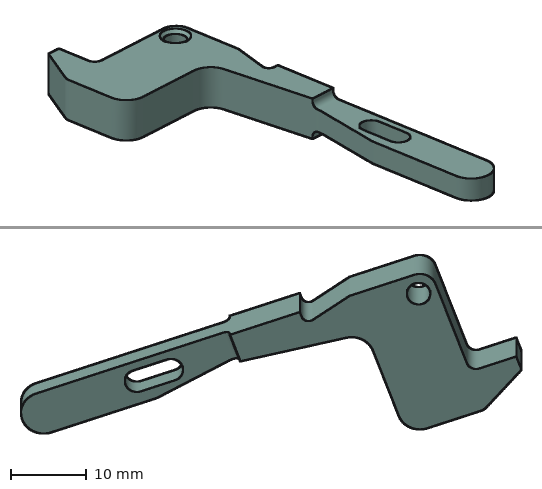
import cadquery as cq
import math

LENGTH = 64.6
WIDTH = 21.6
BODY_THICKNESS = 6.0
ARM_THICKNESS = 3.3

STEM_LEFT = 6.45
STEM_RIGHT = 17.5
HOOK_TOP = 5.9
HOOK_TIP_BOTTOM = 3.8
HOOK_ANGLE = 30.0
HOOK_BLEND = 1.8
HOOK_INNER_RADIUS = 1.3
HEEL_RADIUS = 3.0
SHOULDER_RADIUS = 2.2
ELBOW_RADIUS = 3.0

NOTCH_START = 17.7
NOTCH_WALL = 24.7
NOTCH_ANGLE = 16.0
NOTCH_RADIUS = 1.0

NECK_X = 35.5
NECK_WIDTH = 4.0
ELBOW_Y = 15.7
HANDLE_START = 46.85
HANDLE_WIDTH = 6.0
NECK_BLEND = 3.4
HANDLE_BLEND = 3.0
STEP_X = 34.5
STEP_FILLET = 1.0

HOLE_X = 9.05
CENTRE_LINE_Y = 18.8
HOLE_DIAMETER = 3.1
COUNTERSINK_DIAMETER = 4.15
COUNTERSINK_ANGLE = 90.0
SLOT_LEFT = 42.1
SLOT_RIGHT = 50.05
SLOT_WIDTH = 3.15


def make_profile():
    """Extrude the whole lever outline at body thickness and round its corners."""
    hook_heel_x = HOOK_TIP_BOTTOM / math.tan(math.radians(HOOK_ANGLE))
    notch_depth = (NOTCH_WALL - NOTCH_START) * math.tan(math.radians(NOTCH_ANGLE))
    handle_radius = HANDLE_WIDTH / 2
    handle_bottom = WIDTH - HANDLE_WIDTH
    tip_start = LENGTH - handle_radius

    hook_heel = (hook_heel_x, 0)
    heel = (STEM_RIGHT, 0)
    elbow = (STEM_RIGHT, ELBOW_Y)
    neck = (NECK_X, WIDTH - NECK_WIDTH)
    handle_corner = (HANDLE_START, handle_bottom)
    notch_bottom = (NOTCH_WALL, WIDTH - notch_depth)
    shoulder = (STEM_LEFT, WIDTH)
    hook_inner = (STEM_LEFT, HOOK_TOP)

    profile = (
        cq.Workplane("XY")
        .workplane(offset=-BODY_THICKNESS / 2)
        .moveTo(0, HOOK_TIP_BOTTOM)
        .lineTo(*hook_heel)
        .lineTo(*heel)
        .lineTo(*elbow)
        .lineTo(*neck)
        .lineTo(*handle_corner)
        .lineTo(tip_start, handle_bottom)
        .threePointArc((LENGTH, WIDTH - handle_radius), (tip_start, WIDTH))
        .lineTo(NOTCH_WALL, WIDTH)
        .lineTo(*notch_bottom)
        .lineTo(NOTCH_START, WIDTH)
        .lineTo(*shoulder)
        .lineTo(*hook_inner)
        .lineTo(0, HOOK_TOP)
        .close()
        .extrude(BODY_THICKNESS)
    )

    corner_radii = [
        (hook_heel, HOOK_BLEND),
        (heel, HEEL_RADIUS),
        (elbow, ELBOW_RADIUS),
        (neck, NECK_BLEND),
        (handle_corner, HANDLE_BLEND),
        (notch_bottom, NOTCH_RADIUS),
        (shoulder, SHOULDER_RADIUS),
        (hook_inner, HOOK_INNER_RADIUS),
    ]
    for (x, y), radius in corner_radii:
        edge = cq.selectors.NearestToPointSelector((x, y, 0))
        profile = profile.edges("|Z").edges(edge).fillet(radius)
    return profile


def make_arm_relief():
    """Material above the arm; its inner lower corner leaves a concave fillet."""
    relief_height = (BODY_THICKNESS - ARM_THICKNESS) / 2
    return (
        cq.Workplane("XY")
        .box(LENGTH - STEP_X, WIDTH, relief_height, centered=False)
        .edges("|Y and <X and <Z")
        .fillet(STEP_FILLET)
        .translate((STEP_X, 0, ARM_THICKNESS / 2))
    )


def cut_pivot_hole(lever):
    """Through hole countersunk from the upper face."""
    return (
        lever.faces(">Z")
        .workplane(origin=(HOLE_X, CENTRE_LINE_Y, 0))
        .cskHole(HOLE_DIAMETER, COUNTERSINK_DIAMETER, COUNTERSINK_ANGLE)
    )


def cut_handle_slot(lever):
    """Round-ended slot through the handle."""
    slot = (
        cq.Workplane("XY")
        .center((SLOT_LEFT + SLOT_RIGHT) / 2, CENTRE_LINE_Y)
        .slot2D(SLOT_RIGHT - SLOT_LEFT, SLOT_WIDTH)
        .extrude(BODY_THICKNESS, both=True)
    )
    return lever.cut(slot)


upper_relief = make_arm_relief()
lower_relief = upper_relief.mirror("XY")

result = make_profile().cut(upper_relief).cut(lower_relief)
result = cut_pivot_hole(result)
result = cut_handle_slot(result)